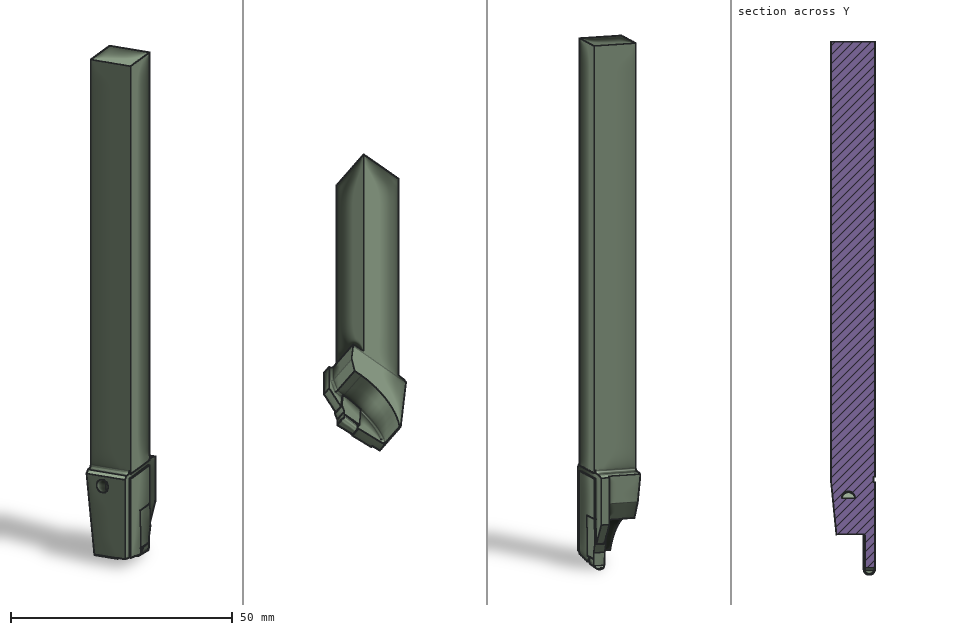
import cadquery as cq
import math


total_length = 120.2
shank_width = 10.0
shank_front = 2.2
shank_back = shank_front + shank_width

head_top = 22.1
head_back = 15.1
front_bevel = 0.7
back_bevel_run = 1.1
back_bevel_drop = 0.2
back_bevel_start = head_back - back_bevel_run
root_radius = 0.7
head_bottom = 2.3
back_slope_top = 15.6
back_slope_foot = 14.0

taper_top = 21.2
taper_inset = 1.9

blade_left = 7.7
blade_right = 9.6
blade_back = 16.0
blade_bottom = 1.1
blade_slope_top = 10.9
blade_slope_foot_y = 12.3
blade_slope_foot_z = 5.4
pad_top = 20.9

relief_radius = 12.0
relief_center_y = 12.1
relief_top = 11.7
relief_center_z = relief_top - relief_radius
relief_end_z = 1.9
relief_fillet = 0.5

hole_diameter = 2.9
hole_x = 4.0
hole_z = 19.0
hole_tilt = 20.0
hole_depth = 5.0

insert_left = 7.3
insert_right = shank_width
insert_front_top = 7.2
insert_heel = 7.6
insert_back_top = 12.3
insert_bulge_y = 12.6
insert_bulge_z = 6.0

rake_y = 11.9
rake_top = 3.8
rake_bottom = 0.8
tip_y = 12.3
tip_land = 0.4
nose_radius = (insert_right - insert_left) / 2
nose_top = 2.4
nose_length = 4.3
nose_taper = 3.0

overcut = 1.2


def plate(outline, left, right):
    """A YZ outline extruded along X from left to right."""
    return outline.extrude(right - left).translate((left, 0, 0))


def head_outline():
    """Start of a YZ outline: up the front of the head and over its top to the back bevel."""
    return (
        cq.Workplane("YZ")
        .moveTo(0, head_bottom)
        .lineTo(0, head_top - front_bevel)
        .lineTo(front_bevel, head_top)
        .lineTo(back_bevel_start, head_top)
    )


def back_bevel_height(y):
    """Height of the shallow back bevel of the head."""
    return head_top - back_bevel_drop * (y - back_bevel_start) / back_bevel_run


def relief_point(angle):
    return (
        relief_center_y + relief_radius * math.cos(angle),
        relief_center_z + relief_radius * math.sin(angle),
    )


def make_block():
    """The thick part of the head, ending at the round relief."""
    top_angle = math.pi / 2
    end_angle = math.pi - math.asin((relief_end_z - relief_center_z) / relief_radius)
    outline = (
        head_outline()
        .lineTo(head_back, back_bevel_height(head_back))
        .lineTo(head_back, back_slope_top)
        .lineTo(back_slope_foot, relief_top)
        .lineTo(relief_center_y, relief_top)
        .threePointArc(relief_point((top_angle + end_angle) / 2), relief_point(end_angle))
        .close()
    )
    return plate(outline, 0, blade_left)


def blade_outline():
    return (
        head_outline()
        .lineTo(blade_back, back_bevel_height(blade_back))
        .lineTo(blade_back, blade_slope_top)
        .lineTo(blade_slope_foot_y, blade_slope_foot_z)
        .lineTo(insert_heel, blade_bottom)
        .close()
    )


def make_pad():
    """The raised strip on the right of the blade, as deep as the shank and below its end."""
    strip = cq.Workplane("XY").box(
        shank_width - blade_right, shank_width, pad_top, centered=False
    ).translate((blade_right, shank_front, 0))
    return plate(blade_outline(), blade_right, shank_width).intersect(strip)


def make_shank():
    shank = cq.Workplane("XY").box(
        shank_width, shank_width, total_length - head_top, centered=False
    )
    return shank.translate((0, shank_front, head_top))


def make_root_fillet(shank_face, outward):
    """Hollow corner between the head top and a shank face; outward is the way that face looks."""
    foot = shank_face + outward * root_radius
    half_chord = root_radius * math.sqrt(0.5)
    outline = (
        cq.Workplane("YZ")
        .moveTo(shank_face, head_top)
        .lineTo(shank_face, head_top + root_radius)
        .threePointArc(
            (foot - outward * half_chord, head_top + root_radius - half_chord),
            (foot, head_top),
        )
        .close()
    )
    return plate(outline, 0, blade_right)


def fillet_relief(head):
    """Round the corner where the walls of the thick block meet the left face of the blade."""
    reach = 0.1
    left = blade_left - reach
    right = blade_left + reach
    upper_walls = cq.selectors.BoxSelector(
        (left, relief_center_y, relief_top - reach), (right, head_back + reach, head_top)
    )
    round_wall = cq.selectors.BoxSelector(
        (left, shank_front, relief_top / 2), (right, relief_center_y, relief_top)
    )
    return head.edges(upper_walls + round_wall).fillet(relief_fillet)


def make_taper_cut():
    taper = (
        cq.Workplane("XZ")
        .moveTo(0, taper_top)
        .lineTo(taper_inset, head_bottom)
        .lineTo(taper_inset, 0)
        .lineTo(-overcut, 0)
        .lineTo(-overcut, taper_top)
        .close()
    )
    return taper.extrude(-blade_back)


def make_hole():
    tilt = math.radians(hole_tilt)
    direction = cq.Vector(0, math.cos(tilt), -math.sin(tilt))
    start = cq.Vector(hole_x, 0, hole_z) - direction * overcut
    return cq.Solid.makeCylinder(hole_diameter / 2, hole_depth + overcut, start, direction)


def make_insert_shank():
    outline = (
        cq.Workplane("YZ")
        .moveTo(insert_front_top, relief_top)
        .lineTo(insert_back_top, relief_top)
        .lineTo(insert_bulge_y, insert_bulge_z)
        .lineTo(rake_y, rake_top)
        .lineTo(rake_y, nose_top)
        .lineTo(insert_heel, nose_top)
        .close()
    )
    return plate(outline, insert_left, insert_right)


def make_nose():
    """Round cutting nose, narrowing toward its heel, that reaches up into the insert."""
    profile = (
        cq.Workplane("XZ", origin=(0, tip_y, 0))
        .moveTo(insert_left, rake_top)
        .lineTo(insert_left, nose_radius)
        .threePointArc((insert_left + nose_radius, 0), (insert_right, nose_radius))
        .lineTo(insert_right, rake_top)
        .close()
    )
    return profile.extrude(nose_length, taper=nose_taper)


def make_chip_groove():
    outline = (
        cq.Workplane("YZ")
        .moveTo(rake_y, rake_top)
        .lineTo(rake_y, rake_bottom)
        .lineTo(tip_y, tip_land)
        .lineTo(tip_y + overcut, tip_land)
        .lineTo(tip_y + overcut, rake_top)
        .close()
    )
    return plate(outline, insert_left, insert_right)


def make_insert():
    nose = make_nose().cut(make_chip_groove())
    return make_insert_shank().union(nose)


def make_holder(insert):
    """The whole holder, with a seat that fits the insert."""
    blade = plate(blade_outline(), blade_left, blade_right)
    head = fillet_relief(make_block().union(blade))
    holder = (
        head.union(make_pad())
        .union(make_shank())
        .union(make_root_fillet(shank_front, -1))
        .union(make_root_fillet(shank_back, 1))
    )
    return holder.cut(make_taper_cut()).cut(make_hole()).cut(insert)


insert = make_insert()
holder = make_holder(insert)

result = cq.Compound.makeCompound([holder.solids().val(), insert.solids().val()])